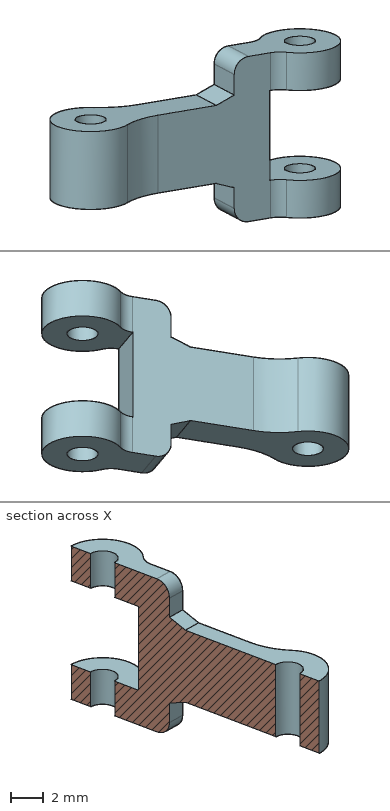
import cadquery as cq
import math

total_length = 19.69
total_height = 10.6
eye_diameter = 5.0
hole_diameter = 1.9
arm_width = 2.52
arm_height = 5.0
prong_thickness = 2.42
single_neck_radius = 4.65
fork_neck_radius = 1.25

fork_inner_wall = 2.82
fork_outer_wall = 5.32
gusset_end = 6.58

gusset_half_height = 2.97
fork_corner_radius = 1.0
margin = 0.2

eye_radius = eye_diameter / 2
half_width = arm_width / 2
half_height = total_height / 2
single_eye_y = -(total_length - eye_diameter) / 2
fork_eye_y = -single_eye_y


def neck_points(eye_y, toward, neck_radius):
    """Return eye tangent point, arc midpoint and arm tangent point of the +X neck."""
    center_x = half_width + neck_radius
    center_distance = eye_radius + neck_radius
    center_y = math.sqrt(center_distance**2 - center_x**2)
    share = eye_radius / center_distance
    sweep = math.atan2(center_y, center_x)
    points = [
        (center_x * share, center_y * share),
        (center_x - neck_radius * math.cos(sweep / 2),
         center_y - neck_radius * math.sin(sweep / 2)),
        (half_width, center_y),
    ]
    return [(x, eye_y + toward * y) for x, y in points]


def mirrored(point):
    return (-point[0], point[1])


def plan_solid():
    """Dog-bone outline with pin holes, extruded over the full height."""
    single_eye, single_mid, single_arm = neck_points(single_eye_y, 1, single_neck_radius)
    fork_eye, fork_mid, fork_arm = neck_points(fork_eye_y, -1, fork_neck_radius)
    outline = (
        cq.Workplane("XY", origin=(0, 0, -half_height))
        .moveTo(*single_eye)
        .threePointArc(single_mid, single_arm)
        .lineTo(*fork_arm)
        .threePointArc(fork_mid, fork_eye)
        .threePointArc((0, fork_eye_y + eye_radius), mirrored(fork_eye))
        .threePointArc(mirrored(fork_mid), mirrored(fork_arm))
        .lineTo(*mirrored(single_arm))
        .threePointArc(mirrored(single_mid), mirrored(single_eye))
        .threePointArc((0, single_eye_y - eye_radius), single_eye)
        .close()
        .extrude(total_height)
    )
    holes = (
        cq.Workplane("XY", origin=(0, 0, -half_height))
        .pushPoints([(0, single_eye_y), (0, fork_eye_y)])
        .circle(hole_diameter / 2)
        .extrude(total_height)
    )
    return outline.cut(holes)


def side_solid():
    """Side silhouette: arm, gussets and fork, extruded wider than the eyes."""
    arm_end_y = -total_length / 2
    fork_end_y = total_length / 2
    inner_y = fork_eye_y - fork_inner_wall
    outer_y = fork_eye_y - fork_outer_wall
    gusset_y = fork_eye_y - gusset_end
    prong_inner_z = half_height - prong_thickness
    upper_edge = [
        (arm_end_y, arm_height / 2),
        (gusset_y, arm_height / 2),
        (outer_y, gusset_half_height),
        (outer_y, half_height),
        (fork_end_y, half_height),
        (fork_end_y, prong_inner_z),
        (inner_y, prong_inner_z),
    ]
    lower_edge = [(y, -z) for y, z in reversed(upper_edge)]
    silhouette = (
        cq.Workplane("YZ")
        .polyline(upper_edge + lower_edge)
        .close()
        .extrude(eye_radius + margin, both=True)
    )
    fork_corners = cq.selectors.BoxSelector(
        (-eye_diameter, outer_y - margin, -half_height - margin),
        (eye_diameter, outer_y + margin, half_height + margin),
    )
    outer_corners = silhouette.edges("|X").edges(fork_corners).edges(">Z or <Z")
    return outer_corners.fillet(fork_corner_radius)


result = plan_solid().intersect(side_solid())